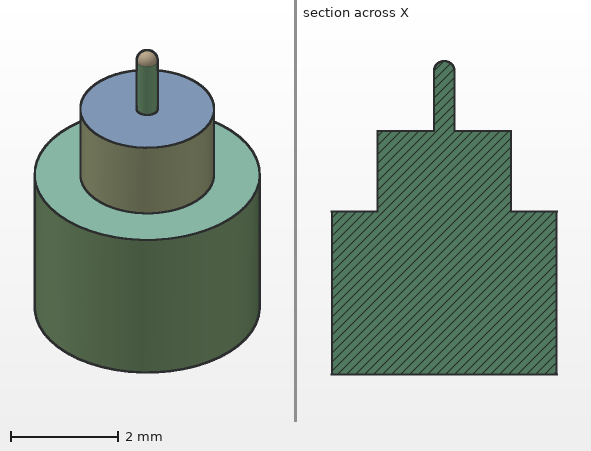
import cadquery as cq

total_height = 5.85
body_diameter = 4.2
body_height = 3.04
neck_diameter = 2.5
neck_height = 1.505
pin_diameter = 0.4

pin_radius = pin_diameter / 2
neck_top = body_height + neck_height
pin_height = total_height - neck_top


def round_section(diameter, height, base_z):
    """Upright cylinder on the Z axis, standing at base_z."""
    return cq.Workplane("XY").workplane(offset=base_z).circle(diameter / 2).extrude(height)


def contact_pin():
    """Centre pin with a hemispherical tip."""
    shank = round_section(pin_diameter, pin_height - pin_radius, neck_top)
    tip = cq.Workplane("XY").sphere(pin_radius).translate((0, 0, total_height - pin_radius))
    return shank.union(tip)


body = round_section(body_diameter, body_height, 0)
neck = round_section(neck_diameter, neck_height, body_height)

result = body.union(neck).union(contact_pin())